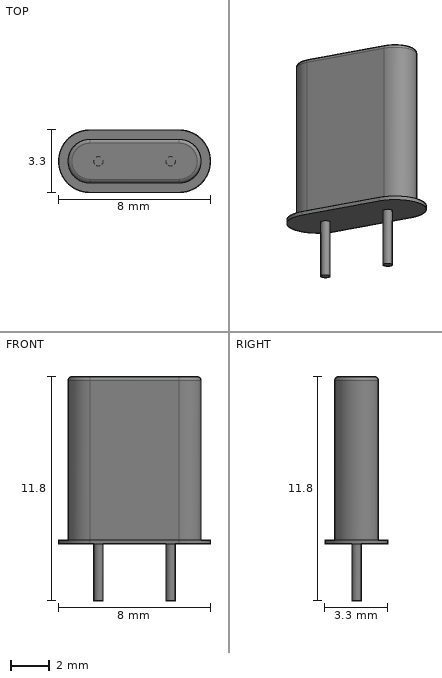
import cadquery as cq

flange_length = 8.0
flange_width = 3.3
flange_thickness = 0.2
rim_width = 0.5
body_height = 8.8
top_edge_radius = 0.2
pin_diameter = 0.5
pin_length = 3.0
pin_spacing = 3.8

can_length = flange_length - 2 * rim_width
can_width = flange_width - 2 * rim_width
can_height = body_height - flange_thickness


def make_flange():
    """Flat rounded-end base plate with its underside at Z = 0."""
    return cq.Workplane("XY").slot2D(flange_length, flange_width).extrude(flange_thickness)


def make_can():
    """Rounded-end can standing on the flange, with its top edge rounded."""
    can = (
        cq.Workplane("XY")
        .workplane(offset=flange_thickness)
        .slot2D(can_length, can_width)
        .extrude(can_height)
    )
    return can.faces(">Z").edges().fillet(top_edge_radius)


def make_pins():
    """Pair of round leads hanging below the flange along X."""
    return (
        cq.Workplane("XY")
        .pushPoints([(side * pin_spacing / 2, 0) for side in (-1, 1)])
        .circle(pin_diameter / 2)
        .extrude(-pin_length)
    )


result = make_flange().union(make_can()).union(make_pins())